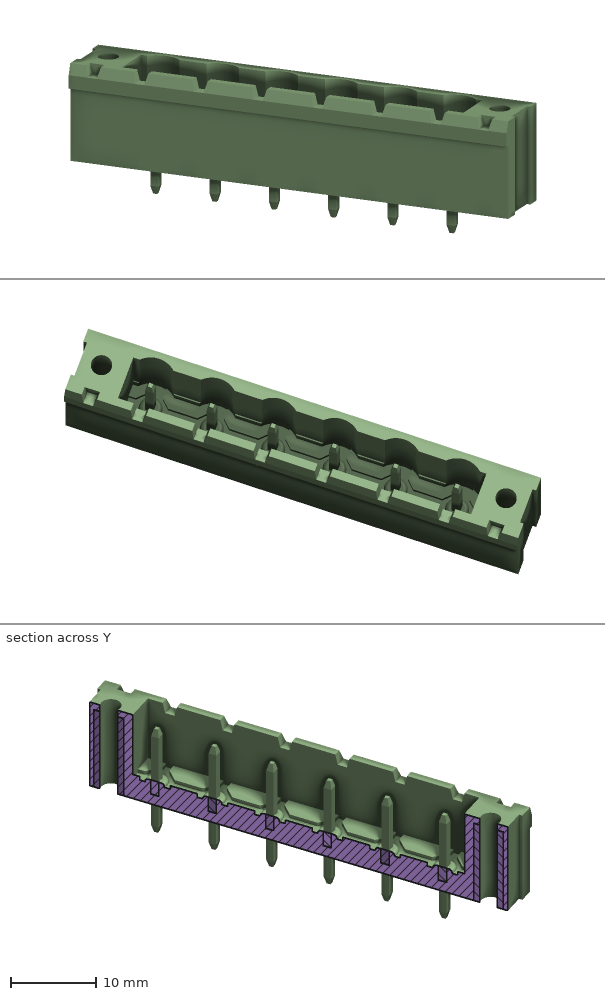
import cadquery as cq

LENGTH = 56.3
BODY_WIDTH = 8.0
LIP_OVERHANG = 0.5
HEIGHT = 12.0
HALF_LENGTH = LENGTH / 2

PIN_COUNT = 6
PITCH = 7.62
PIN_X = [(i - (PIN_COUNT - 1) / 2) * PITCH for i in range(PIN_COUNT)]

PIN_TO_BACK = 3.8
BACK_Y = PIN_TO_BACK
BODY_FRONT_Y = BACK_Y - BODY_WIDTH
LIP_FRONT_Y = BODY_FRONT_Y - LIP_OVERHANG

LIP_HEIGHT = 3.0
LIP_CHAMFER_WIDTH = 0.45
LIP_CHAMFER_HEIGHT = 1.35

END_RECESS_DEPTH = 0.45
END_RECESS_WIDTH = 4.4
END_RECESS_FROM_BACK = 1.7

POCKET_END_WALL = 6.2
POCKET_BACK_WALL = 1.65
POCKET_FRONT_WALL = 1.45
POCKET_DEPTH = 8.5
POCKET_FLOOR_Z = HEIGHT - POCKET_DEPTH
POCKET_LENGTH = LENGTH - 2 * POCKET_END_WALL
POCKET_BACK_Y = BACK_Y - POCKET_BACK_WALL
POCKET_FRONT_Y = LIP_FRONT_Y + POCKET_FRONT_WALL
BAY_RADIUS = 3.0
LEDGE_WIDTH = 0.15
LEDGE_HEIGHT = 1.0

CHANNEL_DEPTH = 0.5
CHANNEL_FLOOR_Z = POCKET_FLOOR_Z - CHANNEL_DEPTH
ROW_CHANNEL_WIDTH = 1.2
ROW_CHANNEL_Y = -0.1
BACK_CHANNEL_WIDTH = 2.0
FRONT_CHANNEL_WIDTH = 1.0
DIAMOND_REACH = 2.6

BOSS_DIAMETER = 2.8
BOSS_HEIGHT = CHANNEL_DEPTH
BOSS_ROUNDING = 0.49

NOTCH_TOP_WIDTH = 1.9
NOTCH_FLOOR_WIDTH = 1.2
NOTCH_DEPTH = LIP_CHAMFER_HEIGHT

HOLE_TO_END = 3.0
HOLE_X = [HOLE_TO_END - HALF_LENGTH, HALF_LENGTH - HOLE_TO_END]
HOLE_DIAMETER = 2.5
INSERT_DIAMETER = 4.0
INSERT_DEPTH = 1.0
INSERT_LENGTH = HEIGHT - INSERT_DEPTH

PIN_SIZE = 1.0
PIN_BELOW = 4.0
PIN_TOP_Z = 10.7
PIN_TIP_LENGTH = 1.0
PIN_TIP_SIZE = 0.5
ANCHOR_SIZE = 1.6
ANCHOR_TOP_Z = CHANNEL_FLOOR_Z + BOSS_HEIGHT
ANCHOR_LENGTH = 2.0


def box(x0, x1, y0, y1, z0, z1):
    """Box between two opposite corners."""
    return cq.Workplane("XY").box(x1 - x0, y1 - y0, z1 - z0, centered=False).translate((x0, y0, z0))


def cylinder(x, diameter, z0, z1):
    """Upright cylinder on the pin centre line."""
    return cq.Workplane("XY", origin=(x, 0, z0)).circle(diameter / 2).extrude(z1 - z0)


def housing_block():
    """Body and front lip swept along the length, with the recesses in both ends."""
    profile = [
        (BACK_Y, 0),
        (BACK_Y, HEIGHT),
        (LIP_FRONT_Y + LIP_CHAMFER_WIDTH, HEIGHT),
        (LIP_FRONT_Y, HEIGHT - LIP_CHAMFER_HEIGHT),
        (LIP_FRONT_Y, HEIGHT - LIP_HEIGHT),
        (BODY_FRONT_Y, HEIGHT - LIP_HEIGHT),
        (BODY_FRONT_Y, 0),
    ]
    block = cq.Workplane("YZ", origin=(-HALF_LENGTH, 0, 0)).polyline(profile).close().extrude(LENGTH)
    recess_back_y = BACK_Y - END_RECESS_FROM_BACK
    core_half_length = HALF_LENGTH - END_RECESS_DEPTH
    for x0, x1 in ((-HALF_LENGTH, -core_half_length), (core_half_length, HALF_LENGTH)):
        block = block.cut(box(x0, x1, recess_back_y - END_RECESS_WIDTH, recess_back_y, 0, HEIGHT))
    return block


def pocket(z0, z1):
    """Pocket between two heights: a rectangle above its back ledge, with a round bay at every pin."""
    half_length = POCKET_LENGTH / 2
    ledge_y = POCKET_BACK_Y - LEDGE_WIDTH
    ledge_top_z = POCKET_FLOOR_Z + LEDGE_HEIGHT
    shape = box(-half_length, half_length, POCKET_FRONT_Y, ledge_y, z0, z1)
    if z1 > ledge_top_z:
        shape = shape.union(box(-half_length, half_length, ledge_y, POCKET_BACK_Y, ledge_top_z, z1))
    for x in PIN_X:
        bay = cylinder(x, 2 * BAY_RADIUS, z0, z1)
        behind_pin = box(x - BAY_RADIUS, x + BAY_RADIUS, ledge_y, BAY_RADIUS, z0, z1)
        shape = shape.union(bay.intersect(behind_pin))
    return shape


def floor_channels():
    """Channels that run along the row and widen to a diamond around each pin."""
    z0 = CHANNEL_FLOOR_Z
    z1 = POCKET_FLOOR_Z
    half_length = POCKET_LENGTH / 2
    row_front_y = ROW_CHANNEL_Y - ROW_CHANNEL_WIDTH / 2
    channels = box(-half_length, half_length, row_front_y, row_front_y + ROW_CHANNEL_WIDTH, z0, z1)
    diamond = [(DIAMOND_REACH, 0), (0, DIAMOND_REACH), (-DIAMOND_REACH, 0), (0, -DIAMOND_REACH)]
    half_back = BACK_CHANNEL_WIDTH / 2
    half_front = FRONT_CHANNEL_WIDTH / 2
    for x in PIN_X:
        channels = channels.union(
            cq.Workplane("XY", origin=(x, ROW_CHANNEL_Y, z0)).polyline(diamond).close().extrude(z1 - z0)
        )
        channels = channels.union(box(x - half_back, x + half_back, 0, BAY_RADIUS, z0, z1))
        channels = channels.union(box(x - half_front, x + half_front, POCKET_FRONT_Y, 0, z0, z1))
    return channels.intersect(pocket(z0, z1))


def boss(x):
    """Round boss with a rounded rim, standing on the channel floor around a pin."""
    return cylinder(x, BOSS_DIAMETER, CHANNEL_FLOOR_Z, ANCHOR_TOP_Z).faces(">Z").edges().fillet(BOSS_ROUNDING)


def front_notch(x):
    """Notch through the front wall that narrows towards its floor."""
    half_top = NOTCH_TOP_WIDTH / 2
    half_floor = NOTCH_FLOOR_WIDTH / 2
    floor_z = HEIGHT - NOTCH_DEPTH
    section = [
        (x - half_top, HEIGHT),
        (x - half_floor, floor_z),
        (x + half_floor, floor_z),
        (x + half_top, HEIGHT),
    ]
    return (
        cq.Workplane("XZ", origin=(0, POCKET_FRONT_Y, 0)).polyline(section).close().extrude(POCKET_FRONT_WALL)
    )


def pin_tip(x, z, direction):
    """Tapered pin end that starts at height z and points up (1) or down (-1)."""
    return (
        cq.Workplane("XY", origin=(x, 0, z))
        .rect(PIN_SIZE, PIN_SIZE)
        .workplane(offset=direction * PIN_TIP_LENGTH)
        .rect(PIN_TIP_SIZE, PIN_TIP_SIZE)
        .loft(combine=True)
    )


def contact_pin(x):
    """Square contact pin with a tapered tip at each end and a cross-shaped anchor."""
    half_pin = PIN_SIZE / 2
    half_anchor = ANCHOR_SIZE / 2
    shank_bottom_z = PIN_TIP_LENGTH - PIN_BELOW
    shank_top_z = PIN_TOP_Z - PIN_TIP_LENGTH
    anchor_bottom_z = ANCHOR_TOP_Z - ANCHOR_LENGTH
    pin = box(x - half_pin, x + half_pin, -half_pin, half_pin, shank_bottom_z, shank_top_z)
    for half_x, half_y in ((half_anchor, half_pin), (half_pin, half_anchor)):
        pin = pin.union(box(x - half_x, x + half_x, -half_y, half_y, anchor_bottom_z, ANCHOR_TOP_Z))
    return pin.union(pin_tip(x, shank_top_z, 1)).union(pin_tip(x, shank_bottom_z, -1))


def insert_sleeve(x):
    """Sleeve in an end flange, set below the top face and flush with the base."""
    return cylinder(x, INSERT_DIAMETER, 0, INSERT_LENGTH).cut(cylinder(x, HOLE_DIAMETER, 0, INSERT_LENGTH))


pins = [contact_pin(x) for x in PIN_X]
inserts = [insert_sleeve(x) for x in HOLE_X]

housing = housing_block().cut(pocket(POCKET_FLOOR_Z, HEIGHT)).cut(floor_channels())
for x in PIN_X:
    housing = housing.union(boss(x))
for x in PIN_X + HOLE_X:
    housing = housing.cut(front_notch(x))
for x in HOLE_X:
    housing = housing.cut(cylinder(x, HOLE_DIAMETER, 0, HEIGHT))
    housing = housing.cut(cylinder(x, INSERT_DIAMETER, 0, INSERT_LENGTH))
for pin in pins:
    housing = housing.cut(pin)

result = cq.Compound.makeCompound(
    [housing.val()] + [pin.val() for pin in pins] + [insert.val() for insert in inserts]
)